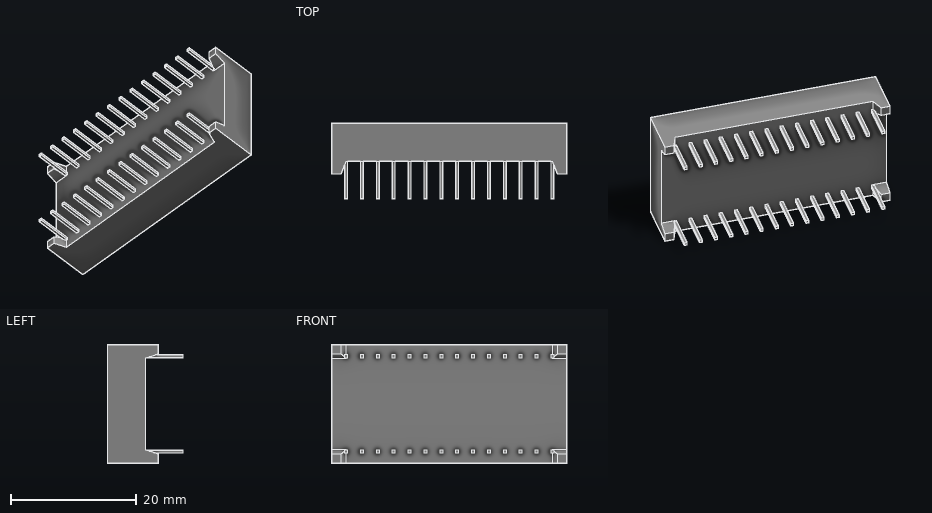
import cadquery as cq

length = 37.6
height = 19.0
total_depth = 12.1
body_depth = 6.13

foot_height = 2.03
foot_tip = 1.5
foot_base_x = 2.3
foot_base_z = 2.18

pins_per_row = 14
row_length = 33.0
row_spacing = 15.25
pin_pitch = row_length / (pins_per_row - 1)
pin_width = 0.5
pin_length = total_depth - body_depth


def footed_profile(plane, width, foot_base, thickness):
    """Body outline with a foot at each end, extruded evenly both ways from the plane."""
    half = width / 2
    return (
        cq.Workplane(plane)
        .moveTo(-half, body_depth)
        .lineTo(-half, -foot_height)
        .lineTo(-half + foot_tip, -foot_height)
        .lineTo(-half + foot_base, 0)
        .lineTo(half - foot_base, 0)
        .lineTo(half - foot_tip, -foot_height)
        .lineTo(half, -foot_height)
        .lineTo(half, body_depth)
        .close()
        .extrude(thickness / 2, both=True)
    )


def make_body():
    """Where the two crossed profiles overlap, the feet remain only at the corners."""
    along_x = footed_profile("XY", length, foot_base_x, height)
    along_z = footed_profile("ZY", height, foot_base_z, length)
    return along_x.intersect(along_z)


def make_pins():
    """Two rows of square pins, rooted inside the body so they also join the sloped feet."""
    root_depth = pin_width
    return (
        cq.Workplane("XZ", origin=(0, root_depth, 0))
        .rarray(pin_pitch, row_spacing, pins_per_row, 2)
        .rect(pin_width, pin_width)
        .extrude(root_depth + pin_length)
    )


result = make_body().union(make_pins())